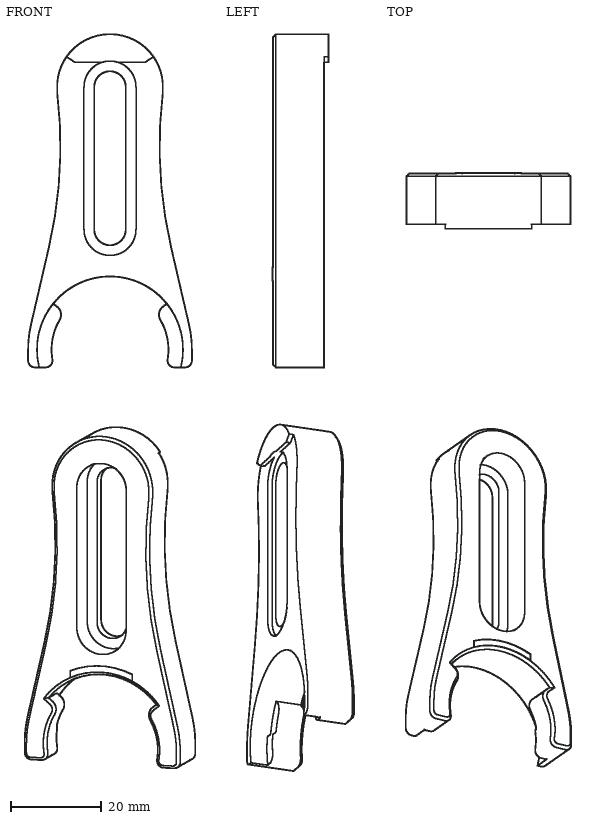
import cadquery as cq
import math


height = 73.8
depth = 11.3
head_radius = 11.7
head_z = height - head_radius
head_arc_end_z = 61.5
back_chamfer = 0.7
foot_straight_top = 3.9
foot_bend_top = 9.45
foot_round = 1.55

waist_radius = 98.9
waist_half_width = 11.0
waist_z = 48.9
waist_top = 60.8
waist_bottom = 26.65

pad_height = 1.0
pad_bottom = 67.5
pad_bottom_half_width = 7.75
pad_tip_z = 68.8

slot_radius = 3.5
recess_radius = 5.75
slot_top = 62.05
slot_bottom = 30.55
front_recess_depth = 1.0
slot_lip = 2.95

opening_radius = 16.15
opening_z = 4.0
jaw_radius = 12.9
jaw_tip_angle = 39.0
jaw_tip_round = 2.2
jaw_face_y = 4.0
jaw_step = 0.75
step_angle = 11.4
step_length = 1.0

band_height = 0.15
band_outer_radius = 18.2
band_half_width = 7.2


def front_plane(y=0.0):
    """Sketch plane with local axes X, Z; positive extrusion goes toward -Y."""
    return cq.Workplane(cq.Plane(origin=(0, y, 0), xDir=(1, 0, 0), normal=(0, -1, 0)))


def extrude_back(sketch, length):
    return sketch.extrude(-length)


def waist_x(z):
    """Half width of the waist arc at height z."""
    return waist_half_width + waist_radius - math.sqrt(waist_radius**2 - (z - waist_z) ** 2)


def head_x(z):
    """Half width of the head arc at height z."""
    return math.sqrt(head_radius**2 - (z - head_z) ** 2)


def plate():
    leg_angle = math.asin((waist_z - waist_bottom) / waist_radius)
    leg_x = waist_x(waist_bottom) + (waist_bottom - foot_bend_top) * math.tan(leg_angle)
    bend_radius = (foot_bend_top - foot_straight_top) / math.sin(leg_angle)
    foot_half_width = leg_x + bend_radius * (1 - math.cos(leg_angle))
    half = (
        front_plane()
        .moveTo(0, height)
        .threePointArc(
            (head_radius, head_z),
            (head_x(head_arc_end_z), head_arc_end_z),
        )
        .lineTo(waist_x(waist_top), waist_top)
        .threePointArc((waist_half_width, waist_z), (waist_x(waist_bottom), waist_bottom))
        .lineTo(leg_x, foot_bend_top)
        .tangentArcPoint((foot_half_width, foot_straight_top), relative=False)
        .lineTo(foot_half_width, 0)
        .lineTo(0, 0)
        .close()
    )
    half = extrude_back(half, depth)
    body = half.union(half.mirror("YZ")).clean()
    return body.edges("|Y").edges("<Z").edges("<X or >X").fillet(foot_round)


def head_pad():
    tip_x = head_x(pad_tip_z)
    return (
        front_plane()
        .moveTo(-pad_bottom_half_width, pad_bottom)
        .lineTo(pad_bottom_half_width, pad_bottom)
        .lineTo(tip_x, pad_tip_z)
        .threePointArc((0, height), (-tip_x, pad_tip_z))
        .close()
        .extrude(pad_height)
    )


def slot_cut(radius, start_y, end_y):
    sketch = (
        front_plane(start_y)
        .center(0, (slot_top + slot_bottom) / 2)
        .slot2D(slot_top - slot_bottom + 2 * radius, 2 * radius, 90)
    )
    return extrude_back(sketch, end_y - start_y)


def disc(radius, start_y, end_y):
    return extrude_back(front_plane(start_y).center(0, opening_z).circle(radius), end_y - start_y)


def jaw_step_cut():
    """Removes the front of the jaw above the step angle, through an S-shaped ramp of two arcs."""
    ramp_start = -step_length / 2
    ramp_end = step_length / 2
    ramp_sag = jaw_step / 8
    radial = math.radians(step_angle)
    plane = cq.Plane(
        origin=(0, jaw_face_y, opening_z),
        xDir=(-math.sin(radial), 0, math.cos(radial)),
        normal=(-math.cos(radial), 0, -math.sin(radial)),
    )
    return (
        cq.Workplane(plane)
        .moveTo(ramp_start, 0)
        .threePointArc((ramp_start / 2, ramp_sag), (0, jaw_step / 2))
        .threePointArc((ramp_end / 2, jaw_step - ramp_sag), (ramp_end, jaw_step))
        .lineTo(opening_radius, jaw_step)
        .lineTo(opening_radius, 0)
        .close()
        .extrude(-2 * opening_radius)
    )


def jaw():
    reach = 2 * opening_radius
    tip = math.radians(jaw_tip_angle)
    sector = (
        front_plane(jaw_face_y)
        .center(0, opening_z)
        .polyline([(0, 0), (reach * math.cos(tip), reach * math.sin(tip)), (reach, -reach), (0, -reach)])
        .close()
    )
    sector = extrude_back(sector, depth - jaw_face_y)
    ring = disc(opening_radius, jaw_face_y, depth).cut(disc(jaw_radius, jaw_face_y, depth))
    blank = ring.intersect(sector)
    tip_corner = cq.selectors.NearestToPointSelector(
        (jaw_radius * math.cos(tip), (jaw_face_y + depth) / 2, opening_z + jaw_radius * math.sin(tip))
    )
    return blank.edges("|Y").edges(tip_corner).fillet(jaw_tip_round).cut(jaw_step_cut())


def opening():
    right_jaw = jaw()
    return disc(opening_radius, 0, depth).cut(right_jaw).cut(right_jaw.mirror("YZ"))


def back_band():
    back = depth + band_height
    ring = disc(band_outer_radius, depth, back)
    ring = ring.cut(disc(opening_radius + back_chamfer, depth, back))
    window = cq.Workplane("XY").box(
        2 * band_half_width, 2 * back, band_outer_radius, centered=(True, True, False)
    )
    return ring.intersect(window.translate((0, 0, opening_z)))


def round_inner_feet(body):
    inner_x = math.sqrt(jaw_radius**2 - opening_z**2)
    for side in (-1, 1):
        corner = cq.selectors.NearestToPointSelector((side * inner_x, (jaw_face_y + depth) / 2, 0))
        body = body.edges("|Y").edges(corner).fillet(foot_round)
    return body


lip_back = front_recess_depth + slot_lip

body = plate().union(head_pad())
body = body.cut(slot_cut(recess_radius, -pad_height, front_recess_depth))
body = body.cut(slot_cut(slot_radius, front_recess_depth, lip_back))
body = body.cut(opening())
body = round_inner_feet(body)
body = body.faces(">Y").edges().chamfer(back_chamfer)
body = body.cut(slot_cut(recess_radius, lip_back, depth))
result = body.union(back_band())